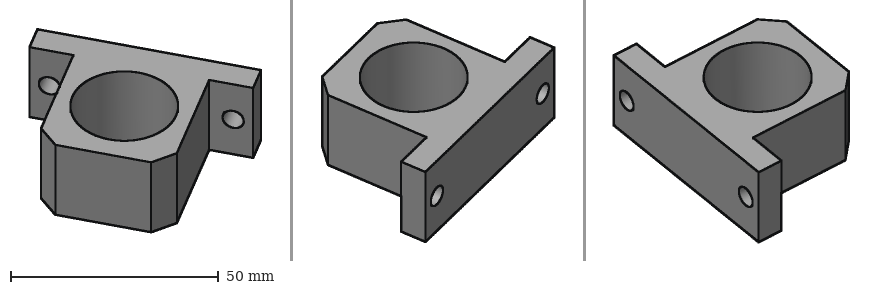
import cadquery as cq

height = 22.0
flange_width = 56.0
flange_thickness = 7.0
body_width = 34.0
bore_diameter = 26.0
bore_to_back = 22.0
bore_to_nose = 18.5
corner_chamfer = 5.0
screw_diameter = 5.3
screw_spacing = 46.0

back_y = bore_to_back
nose_y = -bore_to_nose
depth = bore_to_back + bore_to_nose


def make_flange():
    """Mounting plate across the back."""
    return (
        cq.Workplane("XY")
        .center(0, back_y - flange_thickness / 2)
        .rect(flange_width, flange_thickness)
        .extrude(height)
    )


def make_body():
    """Clamp block with its two front vertical corners chamfered."""
    return (
        cq.Workplane("XY")
        .center(0, (back_y + nose_y) / 2)
        .rect(body_width, depth)
        .extrude(height)
        .faces("<Y")
        .edges("|Z")
        .chamfer(corner_chamfer)
    )


def make_bore():
    """Through bore along Z."""
    return cq.Workplane("XY").circle(bore_diameter / 2).extrude(height)


def make_screw_holes():
    """Two through holes along Y, one in each flange ear, at mid height."""
    return (
        cq.Workplane("XZ", origin=(0, back_y, height / 2))
        .pushPoints([(side * screw_spacing / 2, 0) for side in (-1, 1)])
        .circle(screw_diameter / 2)
        .extrude(flange_thickness)
    )


result = make_flange().union(make_body()).cut(make_bore()).cut(make_screw_holes())